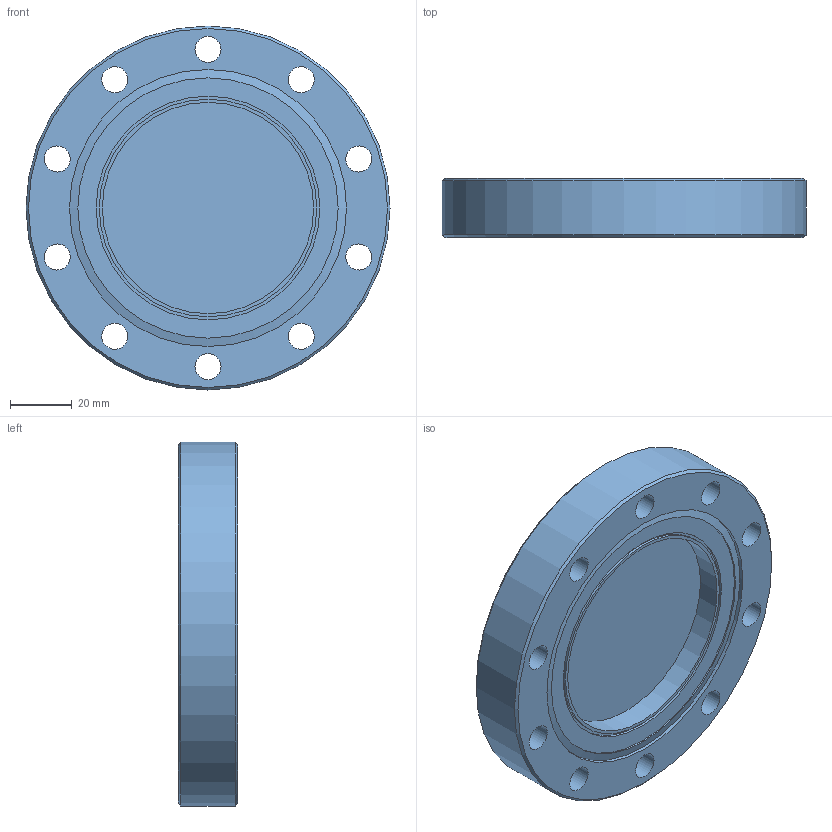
import cadquery as cq

outer_diameter = 117.475
thickness = 19.05
rim_chamfer = 0.8

bolt_count = 10
bolt_circle_diameter = 102.36
bolt_hole_diameter = 8.4
first_bolt_angle = 90

recess_radius = 44.7
recess_depth = 1.3
knife_edge_radius = 42.0
knife_edge_depth = 0.65
land_depth = 1.15

groove_outer_radius = 36.1
lip_outer_radius = 35.1
bore_radius = 34.1
groove_depth = 2.0
bore_depth = 8.7


def back_plane():
    """Sketch plane on the back face; extrusions from it run towards the front face."""
    return cq.Workplane("XZ", origin=(0, thickness / 2, 0))


def flange_body():
    """Plain disc with both rims chamfered, front face at the lowest Y."""
    disc = back_plane().circle(outer_diameter / 2).extrude(thickness)
    return disc.faces("<Y or >Y").edges().chamfer(rim_chamfer)


def face_cavity():
    """Solid of revolution removed from the front face: gasket recess, weld groove and blind bore."""
    front = -thickness / 2
    profile = (
        cq.Workplane("XY")
        .moveTo(0, front)
        .lineTo(recess_radius, front)
        .lineTo(recess_radius, front + recess_depth)
        .lineTo(knife_edge_radius, front + knife_edge_depth)
        .lineTo(knife_edge_radius, front + land_depth)
        .lineTo(groove_outer_radius, front + land_depth)
        .lineTo(groove_outer_radius, front + groove_depth)
        .lineTo(lip_outer_radius, front + groove_depth)
        .lineTo(lip_outer_radius, front + land_depth)
        .lineTo(bore_radius, front + land_depth)
        .lineTo(bore_radius, front + bore_depth)
        .lineTo(0, front + bore_depth)
        .close()
    )
    return profile.revolve(360, (0, 0, 0), (0, 1, 0))


def bolt_holes():
    """Through holes on the bolt circle, the first one straight up at +Z."""
    return (
        back_plane()
        .polarArray(bolt_circle_diameter / 2, first_bolt_angle, 360, bolt_count)
        .circle(bolt_hole_diameter / 2)
        .extrude(thickness)
    )


result = flange_body().cut(face_cavity()).cut(bolt_holes())